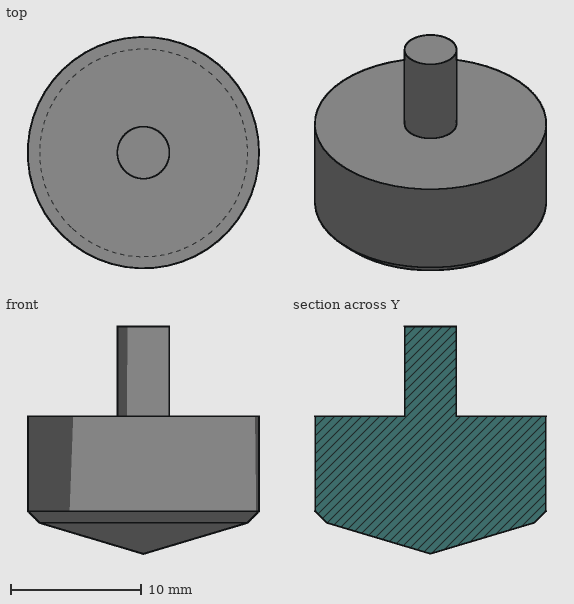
import cadquery as cq

total_height = 17.5
body_diameter = 17.8
stem_diameter = 4.0
stem_height = 6.9
tip_height = 2.39
chamfer_size = 0.9

body_radius = body_diameter / 2
stem_radius = stem_diameter / 2
tip_radius = body_radius - chamfer_size
wall_bottom = tip_height + chamfer_size
body_top = total_height - stem_height

half_section = (
    cq.Workplane("XZ")
    .moveTo(0, 0)
    .lineTo(tip_radius, tip_height)
    .lineTo(body_radius, wall_bottom)
    .lineTo(body_radius, body_top)
    .lineTo(stem_radius, body_top)
    .lineTo(stem_radius, total_height)
    .lineTo(0, total_height)
    .close()
)

result = half_section.revolve(360, (0, 0, 0), (0, 1, 0))